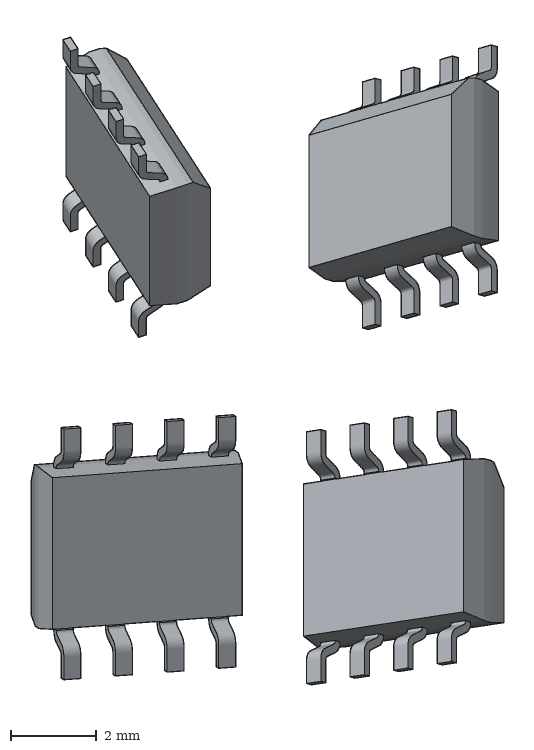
import cadquery as cq
import math

body_length = 4.9
body_width = 3.86
body_base = 0.18
body_top = 1.75
lead_span = 6.0

band_thickness = 0.27
draft_angle = 10.0
bevel_leg = 0.52

leads_per_side = 4
lead_pitch = 1.27
lead_width = 0.42
lead_thickness = 0.2
inner_bend_radius = 0.1
outer_bend_radius = inner_bend_radius + lead_thickness
bend_angle = 65.0
lead_clearance = 0.005
shoulder_straight = 0.01
shoulder_height = 0.75

draft_depth = (body_top - body_base - band_thickness) / 2
band_base = body_base + draft_depth
band_top = band_base + band_thickness


def make_body():
    """Straight band with a drafted half on each side and one bevelled long edge."""
    band = cq.Workplane("XZ", origin=(0, band_top, 0)).rect(body_length, body_width).extrude(band_thickness)
    lower = (
        cq.Workplane("XZ", origin=(0, band_base, 0))
        .rect(body_length, body_width)
        .extrude(draft_depth, taper=draft_angle)
    )
    upper = (
        cq.Workplane("XZ", origin=(0, band_top, 0))
        .rect(body_length, body_width)
        .extrude(-draft_depth, taper=draft_angle)
    )
    corner_z = body_width / 2
    bevel = (
        cq.Workplane("YZ")
        .moveTo(body_top, corner_z)
        .lineTo(body_top - bevel_leg, corner_z)
        .lineTo(body_top, corner_z - bevel_leg)
        .close()
        .extrude(body_length / 2, both=True)
    )
    return band.union(lower).union(upper).cut(bevel)


def polar(centre, radius, angle):
    """Point at a radius and an angle in degrees from +Y towards +Z."""
    turn = math.radians(angle)
    return (centre[0] + radius * math.cos(turn), centre[1] + radius * math.sin(turn))


def make_lead(x):
    """Gull-wing lead on the +Z side: shoulder bend, slope, foot bend and flat foot."""
    tip_z = lead_span / 2
    end_z = body_width / 2 + lead_clearance
    shoulder_centre = (shoulder_height - outer_bend_radius, end_z + shoulder_straight)

    foot_centre_y = outer_bend_radius
    radii_sum = inner_bend_radius + outer_bend_radius
    centre_gap_y = shoulder_centre[0] - foot_centre_y
    slope = math.radians(bend_angle)
    centre_gap_z = (radii_sum + centre_gap_y * math.cos(slope)) / math.sin(slope)
    foot_centre = (foot_centre_y, shoulder_centre[1] + centre_gap_z)

    half_bend = bend_angle / 2
    profile = (
        cq.Workplane("YZ", origin=(x, 0, 0))
        .moveTo(shoulder_height, end_z)
        .lineTo(*polar(shoulder_centre, outer_bend_radius, 0))
        .threePointArc(
            polar(shoulder_centre, outer_bend_radius, half_bend),
            polar(shoulder_centre, outer_bend_radius, bend_angle),
        )
        .lineTo(*polar(foot_centre, inner_bend_radius, 180 + bend_angle))
        .threePointArc(
            polar(foot_centre, inner_bend_radius, 180 + half_bend),
            polar(foot_centre, inner_bend_radius, 180),
        )
        .lineTo(lead_thickness, tip_z)
        .lineTo(0, tip_z)
        .lineTo(*polar(foot_centre, outer_bend_radius, 180))
        .threePointArc(
            polar(foot_centre, outer_bend_radius, 180 + half_bend),
            polar(foot_centre, outer_bend_radius, 180 + bend_angle),
        )
        .lineTo(*polar(shoulder_centre, inner_bend_radius, bend_angle))
        .threePointArc(
            polar(shoulder_centre, inner_bend_radius, half_bend),
            polar(shoulder_centre, inner_bend_radius, 0),
        )
        .lineTo(shoulder_height - lead_thickness, end_z)
        .close()
    )
    return profile.extrude(lead_width / 2, both=True)


body = make_body()

leads = []
for index in range(leads_per_side):
    lead_x = (index - (leads_per_side - 1) / 2) * lead_pitch
    lead = make_lead(lead_x)
    leads.append(lead.val())
    leads.append(lead.mirror("XY").val())

result = cq.Compound.makeCompound([body.val(), *leads])